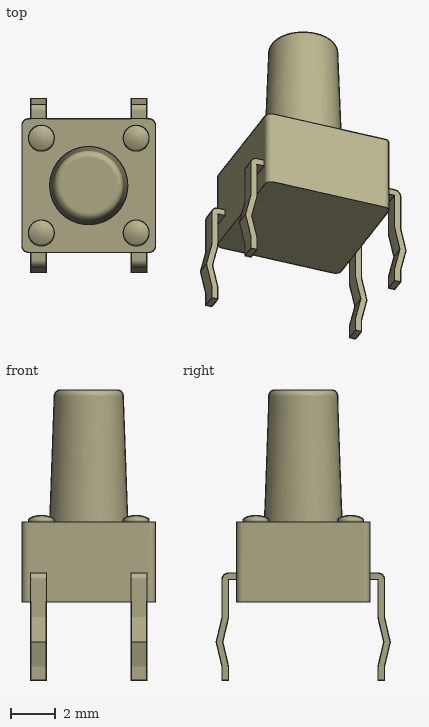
import cadquery as cq
import math

body_side = 5.99
body_height = 3.6
body_corner_radius = 0.3

plunger_top_z = 9.51
plunger_base_radius = 1.75
plunger_rim_radius = 1.55
plunger_rim_fillet = 0.3

rivet_circle_radius = 3.0
rivet_offset = rivet_circle_radius / math.sqrt(2)
rivet_radius = 0.58
rivet_height = 0.29
rivet_dome_rise = 0.16
rivet_rim_fillet = 0.12

lead_pitch = 4.5
lead_width = 0.7
lead_thickness = 0.3
lead_top_z = 1.31
lead_bend_radius = 0.3
lead_kink_depth = 0.26
lead_kink_tip_y = 3.9
lead_outer_y = lead_kink_tip_y - lead_kink_depth
lead_kink_start_z = -0.68
lead_kink_height = 2.2
lead_kink_tip_z = lead_kink_start_z - lead_kink_height / 2
lead_kink_end_z = lead_kink_start_z - lead_kink_height
lead_bottom_z = -3.5

quarter_arc_middle = math.sqrt(0.5)


def make_body():
    block = cq.Workplane("XY").box(body_side, body_side, body_height, centered=(True, True, False))
    return block.edges("|Z").fillet(body_corner_radius)


def make_plunger():
    """Revolved half profile; XZ workplane coordinates are (radius, height)."""
    rim_z = plunger_top_z - plunger_rim_fillet
    flat_radius = plunger_rim_radius - plunger_rim_fillet
    arc_reach = plunger_rim_fillet * quarter_arc_middle
    return (
        cq.Workplane("XZ")
        .moveTo(0, body_height)
        .lineTo(plunger_base_radius, body_height)
        .lineTo(plunger_rim_radius, rim_z)
        .threePointArc((flat_radius + arc_reach, rim_z + arc_reach), (flat_radius, plunger_top_z))
        .lineTo(0, plunger_top_z)
        .close()
        .revolve(360, (0, 0, 0), (0, 1, 0))
    )


def make_rivet():
    """Dome head on the Z axis; the dome meets the cylinder in a filleted edge."""
    sphere_radius = (rivet_radius**2 + rivet_dome_rise**2) / (2 * rivet_dome_rise)
    sphere_center_z = rivet_height - sphere_radius
    sphere = cq.Workplane("XY").sphere(sphere_radius).translate((0, 0, sphere_center_z))
    head = cq.Workplane("XY").circle(rivet_radius).extrude(rivet_height).intersect(sphere)
    rim = head.faces("%CYLINDER").edges("%CIRCLE").edges(">Z")
    return rim.fillet(rivet_rim_fillet).translate((0, 0, body_height))


def make_rivets():
    rivet = make_rivet()
    rivets = cq.Workplane("XY")
    for x in (-rivet_offset, rivet_offset):
        for y in (-rivet_offset, rivet_offset):
            rivets = rivets.add(rivet.translate((x, y, 0)))
    return rivets


def make_lead():
    """Lead on the +Y side, centred on X = 0; YZ workplane coordinates are (y, z)."""
    inner_y = lead_outer_y - lead_thickness
    kink_inner_y = lead_kink_tip_y - lead_thickness
    arc_center_y = lead_outer_y - lead_bend_radius
    arc_center_z = lead_top_z - lead_bend_radius
    arc_reach = lead_bend_radius * quarter_arc_middle
    return (
        cq.Workplane("YZ")
        .moveTo(body_side / 2, lead_top_z)
        .lineTo(arc_center_y, lead_top_z)
        .threePointArc((arc_center_y + arc_reach, arc_center_z + arc_reach), (lead_outer_y, arc_center_z))
        .lineTo(lead_outer_y, lead_kink_start_z)
        .lineTo(lead_kink_tip_y, lead_kink_tip_z)
        .lineTo(lead_outer_y, lead_kink_end_z)
        .lineTo(lead_outer_y, lead_bottom_z)
        .lineTo(inner_y, lead_bottom_z)
        .lineTo(inner_y, lead_kink_end_z)
        .lineTo(kink_inner_y, lead_kink_tip_z)
        .lineTo(inner_y, lead_kink_start_z)
        .lineTo(inner_y, lead_top_z - lead_thickness)
        .lineTo(body_side / 2, lead_top_z - lead_thickness)
        .close()
        .extrude(lead_width / 2, both=True)
    )


def make_leads():
    """Two leads on the back side and two mirrored onto the front side."""
    back_lead = make_lead()
    front_lead = back_lead.mirror("XZ")
    leads = cq.Workplane("XY")
    for x in (-lead_pitch / 2, lead_pitch / 2):
        for lead in (back_lead, front_lead):
            leads = leads.add(lead.translate((x, 0, 0)))
    return leads


result = make_body().union(make_plunger())
for feature in make_rivets().vals() + make_leads().vals():
    result = result.union(cq.Workplane(feature))